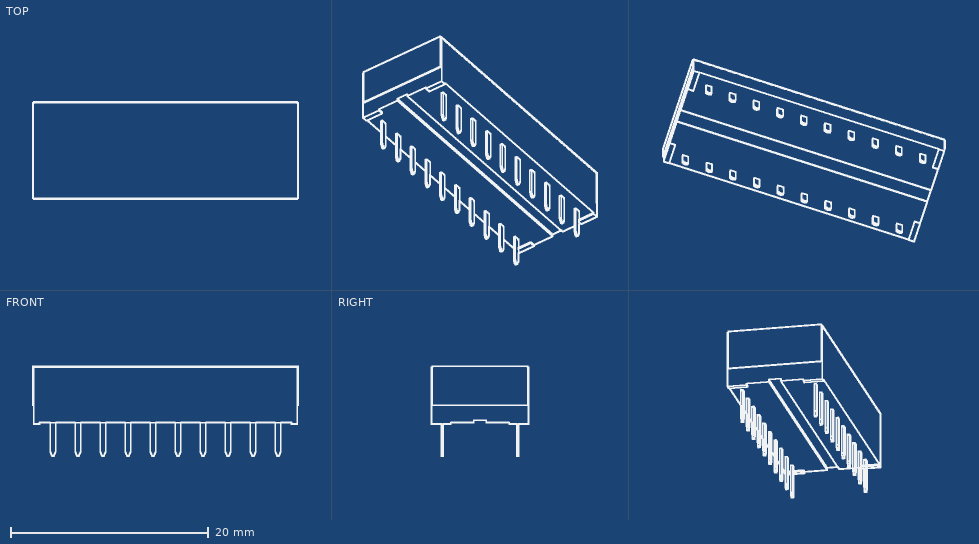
import cadquery as cq

overall_length = 26.95
overall_width = 9.9
overall_height = 9.15

film_thickness = 0.1
film_side_inset = 0.1
film_drop = 4.0

body_length = overall_length - 2 * film_thickness
body_top = overall_height - film_thickness
body_bottom = 3.24

foot_height = 0.15
foot_length = 0.6
foot_width = 2.0
groove_width = 1.25
groove_depth = 0.25
underside = body_bottom + foot_height

pins_per_row = 10
pin_row_length = 22.85
pin_pitch = pin_row_length / (pins_per_row - 1)
row_spacing = 7.63
pin_width = 0.6
pin_thickness = 0.2
tip_width = 0.2
tip_height = 0.45


def box(length, width, bottom, top):
    """Box centred on X and Y, spanning bottom to top in Z."""
    return (
        cq.Workplane("XY")
        .workplane(offset=bottom)
        .rect(length, width)
        .extrude(top - bottom)
    )


def make_body():
    block = box(body_length, overall_width, underside, body_top)
    groove = box(body_length, groove_width, underside, underside + groove_depth)
    feet = (
        cq.Workplane("XY")
        .workplane(offset=body_bottom)
        .rect(body_length - foot_length, overall_width - foot_width, forConstruction=True)
        .vertices()
        .rect(foot_length, foot_width)
        .extrude(foot_height)
    )
    return block.cut(groove).union(feet)


def make_film():
    film_width = overall_width - 2 * film_side_inset
    film_bottom = overall_height - film_drop
    shell = box(overall_length, film_width, film_bottom, overall_height)
    return shell.cut(box(body_length, film_width, film_bottom, body_top))


def make_pins():
    pin = (
        cq.Workplane("XZ")
        .moveTo(-tip_width / 2, 0)
        .lineTo(tip_width / 2, 0)
        .lineTo(pin_width / 2, tip_height)
        .lineTo(pin_width / 2, underside)
        .lineTo(-pin_width / 2, underside)
        .lineTo(-pin_width / 2, tip_height)
        .close()
        .extrude(pin_thickness / 2, both=True)
    )
    return (
        cq.Workplane("XY")
        .rarray(pin_pitch, row_spacing, pins_per_row, 2)
        .eachpoint(lambda place: pin.val().moved(place))
    )


result = make_body().union(make_film()).union(make_pins())